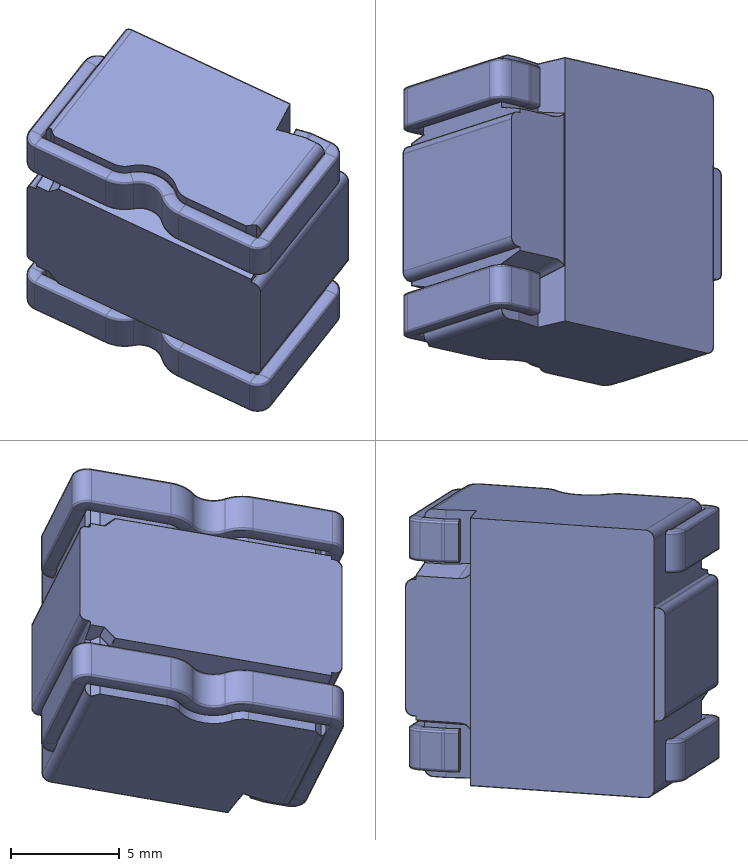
import cadquery as cq
import math

overall_width = 13.0
overall_height = 12.6
overall_depth = 8.0

strip_thickness = 0.7
strip_height = 2.0
strip_offset = 4.93
strip_crown = 0.06
strip_edge_radius = 0.1
bend_inner_radius = 0.01
left_bend_y = 5.58
right_bend_y = 6.62
tail_bend_x = 4.75
tail_angle = 11.0
tail_length = 0.66

wave_half_span = 1.96
wave_valley_radius = 1.0
wave_crest_radius = 1.08
wave_angle = 45.0

core_edge_radius = 0.42
notch_width = 0.25
notch_depth = 1.03
notch_chamfer_x = 5.17
pocket_wall_back_x = 3.12
pocket_corner_x = 3.38

middle_half_width = 6.29
middle_front = 0.15
middle_back = 7.94
left_flank_half_height = 2.65
right_flank_half_height = 3.21
left_flank_edge_radius = 0.31
left_flank_root_radius = 0.12
right_flank_edge_radius = 0.4

draft_angle = 15.0
pad_half_height = 3.39
pad_low_half_height = 2.87
pad_low_x = -5.12
pad_depth = 1.82
floor_arc_x = 3.7
floor_arc_radius = 0.78
floor_arc_angle = 48.0
floor_depth = 1.95

half_thickness = strip_thickness / 2
bend_radius = bend_inner_radius + half_thickness
bend_outer_radius = bend_inner_radius + strip_thickness
core_half_width = overall_width / 2 - bend_outer_radius
core_front = strip_thickness
pocket_ledge = right_bend_y + bend_inner_radius


def polar(center, radius, degrees):
    """Point on a circle, with the angle measured from +X towards +Y."""
    angle = math.radians(degrees)
    return (center[0] + radius * math.cos(angle), center[1] + radius * math.sin(angle))


def add_arc(path, center, radius, start, end):
    """Continue a path along a circular arc between two angles."""
    return path.threePointArc(polar(center, radius, (start + end) / 2), polar(center, radius, end))


def add_wave(path, offset):
    """Continue a path, left to right, along the wave at a distance from the strip's front face."""
    valley_center_y = wave_valley_radius + strip_thickness
    valley_radius = valley_center_y - offset
    crest_radius = wave_crest_radius + offset
    center_distance = valley_center_y + wave_crest_radius
    crest_center = (0, valley_center_y - center_distance * math.cos(math.radians(wave_angle)))
    left_center = (-wave_half_span, valley_center_y)
    right_center = (wave_half_span, valley_center_y)

    path = path.lineTo(-wave_half_span, offset)
    path = add_arc(path, left_center, valley_radius, -90, wave_angle - 90)
    path = add_arc(path, crest_center, crest_radius, 90 + wave_angle, 90 - wave_angle)
    return add_arc(path, right_center, valley_radius, -90 - wave_angle, -90)


def strip_path():
    """Centre line of a terminal, from its left end round the front to the rear tail."""
    left_center = (-core_half_width, left_bend_y)
    front_left_center = (-core_half_width, bend_outer_radius)
    front_right_center = (core_half_width, bend_outer_radius)
    rear_center = (core_half_width, right_bend_y)
    tail_center = (tail_bend_x, right_bend_y)
    tail_direction = 180 + tail_angle

    path = cq.Workplane("XY").moveTo(*polar(left_center, bend_radius, 90))
    path = add_arc(path, left_center, bend_radius, 90, 180)
    path = path.lineTo(*polar(front_left_center, bend_radius, 180))
    path = add_arc(path, front_left_center, bend_radius, 180, 270)
    path = add_wave(path, half_thickness)
    path = path.lineTo(*polar(front_right_center, bend_radius, -90))
    path = add_arc(path, front_right_center, bend_radius, -90, 0)
    path = path.lineTo(*polar(rear_center, bend_radius, 0))
    path = add_arc(path, rear_center, bend_radius, 0, 90)
    path = path.lineTo(*polar(tail_center, bend_radius, 90))
    path = add_arc(path, tail_center, bend_radius, 90, 90 + tail_angle)
    tail_start = polar(tail_center, bend_radius, 90 + tail_angle)
    return path.lineTo(*polar(tail_start, tail_length, tail_direction))


def make_terminal(center_z):
    """Bent strip with crowned, rounded edges."""
    crown_z = strip_height / 2
    corner_z = crown_z - strip_crown
    section = (
        cq.Sketch()
        .segment((-half_thickness, -corner_z), (-half_thickness, corner_z))
        .arc((-half_thickness, corner_z), (0, crown_z), (half_thickness, corner_z))
        .segment((half_thickness, corner_z), (half_thickness, -corner_z))
        .arc((half_thickness, -corner_z), (0, -crown_z), (-half_thickness, -corner_z))
        .assemble()
        .vertices()
        .fillet(strip_edge_radius)
    )
    start_plane = cq.Plane(
        origin=(-core_half_width, left_bend_y + bend_radius, 0), xDir=(0, 1, 0), normal=(1, 0, 0)
    )
    terminal = cq.Workplane(start_plane).placeSketch(section).sweep(strip_path())
    return terminal.translate((0, 0, center_z))


def make_core():
    """Full-height core with the wave groove, front corner notches and rear pocket."""
    notch_x = core_half_width - notch_width
    pocket_corner_y = pocket_ledge - (tail_bend_x - pocket_corner_x) * math.tan(math.radians(tail_angle))

    block = (
        cq.Workplane("XY", origin=(0, 0, -overall_height / 2))
        .rect(2 * core_half_width, 2 * overall_depth)
        .extrude(overall_height)
        .edges("|Y")
        .fillet(core_edge_radius)
    )
    outline = cq.Workplane("XY", origin=(0, 0, -overall_height / 2)).moveTo(-notch_chamfer_x, core_front)
    outline = add_wave(outline, core_front)
    outline = (
        outline.lineTo(notch_chamfer_x, core_front)
        .lineTo(notch_x, notch_depth)
        .lineTo(core_half_width, notch_depth)
        .lineTo(core_half_width, pocket_ledge)
        .lineTo(tail_bend_x, pocket_ledge)
        .lineTo(pocket_corner_x, pocket_corner_y)
        .lineTo(pocket_wall_back_x, overall_depth)
        .lineTo(-core_half_width, overall_depth)
        .lineTo(-core_half_width, notch_depth)
        .lineTo(-notch_x, notch_depth)
        .close()
    )
    return outline.extrude(overall_height).intersect(block)


def make_flank(side, half_height, edge_radius):
    """Side of the middle block with rounded outer edges; side is -1 for left and 1 for right."""
    depth = middle_back - middle_front
    return (
        cq.Workplane("XY")
        .box(middle_half_width, depth, 2 * half_height)
        .translate((side * middle_half_width / 2, middle_front + depth / 2, 0))
        .edges("|Y")
        .edges(">X" if side > 0 else "<X")
        .fillet(edge_radius)
    )


def make_left_root_fillet(sign):
    """Concave fillet between the left core wall and the left flank; sign picks the upper or lower one."""
    wall_x = -core_half_width
    flank_z = sign * left_flank_half_height
    center = (wall_x - left_flank_root_radius, flank_z + sign * left_flank_root_radius)
    profile = cq.Workplane(cq.Plane(origin=(0, middle_front, 0), xDir=(1, 0, 0), normal=(0, -1, 0)))
    profile = profile.moveTo(wall_x, flank_z).lineTo(wall_x, center[1])
    profile = add_arc(profile, center, left_flank_root_radius, 0, -90 * sign)
    return profile.close().extrude(middle_front - middle_back)


def core_width_block():
    """Block as wide as the core, used to trim the drafted pieces at the core walls."""
    return cq.Workplane("XY").box(2 * core_half_width, 2 * overall_depth, overall_height)


def make_front_pad():
    """Raised front of the middle block, drafted outwards and cut lower at its left corners."""
    side_x = core_half_width + pad_depth
    ramp_end_x = pad_low_x + pad_half_height - pad_low_half_height
    upper_edge = [
        (-side_x, pad_low_half_height),
        (pad_low_x, pad_low_half_height),
        (ramp_end_x, pad_half_height),
        (side_x, pad_half_height),
    ]
    lower_edge = [(x, -z) for x, z in reversed(upper_edge)]
    front_plane = cq.Plane(origin=(0, middle_front, 0), xDir=(1, 0, 0), normal=(0, 1, 0))
    return (
        cq.Workplane(front_plane)
        .polyline(upper_edge + lower_edge)
        .close()
        .extrude(pad_depth, taper=-draft_angle)
        .intersect(core_width_block())
    )


def make_pocket_floor():
    """Drafted floors of the two rear pockets, curving up towards the pocket wall."""
    side_x = core_half_width + floor_depth
    arc_center = (floor_arc_x, pad_half_height + floor_arc_radius)
    arc_end = polar(arc_center, floor_arc_radius, -90 - floor_arc_angle)
    inner_x = pocket_wall_back_x - floor_arc_radius
    inner_z = arc_end[1] + (arc_end[0] - inner_x) * math.tan(math.radians(floor_arc_angle))
    back_plane = cq.Plane(origin=(0, middle_back, 0), xDir=(1, 0, 0), normal=(0, -1, 0))

    profile = cq.Workplane(back_plane).moveTo(side_x, -pad_half_height).lineTo(side_x, pad_half_height)
    profile = profile.lineTo(floor_arc_x, pad_half_height)
    profile = add_arc(profile, arc_center, floor_arc_radius, -90, -90 - floor_arc_angle)
    profile = profile.lineTo(inner_x, inner_z).lineTo(inner_x, -inner_z).lineTo(arc_end[0], -arc_end[1])
    lower_center = (floor_arc_x, -arc_center[1])
    profile = add_arc(profile, lower_center, floor_arc_radius, 90 + floor_arc_angle, 90)
    return profile.close().extrude(floor_depth, taper=-draft_angle).intersect(core_width_block())


def make_housing():
    """Core with the middle block around it."""
    left_flank = make_flank(-1, left_flank_half_height, left_flank_edge_radius)
    right_flank = make_flank(1, right_flank_half_height, right_flank_edge_radius)
    body = make_core().union(make_front_pad()).union(make_pocket_floor())
    body = body.union(left_flank).union(right_flank)
    for sign in (-1, 1):
        body = body.union(make_left_root_fillet(sign))
    return body


housing = make_housing()
terminals = [make_terminal(z).val() for z in (-strip_offset, strip_offset)]

result = cq.Compound.makeCompound([housing.solids().val(), *terminals])